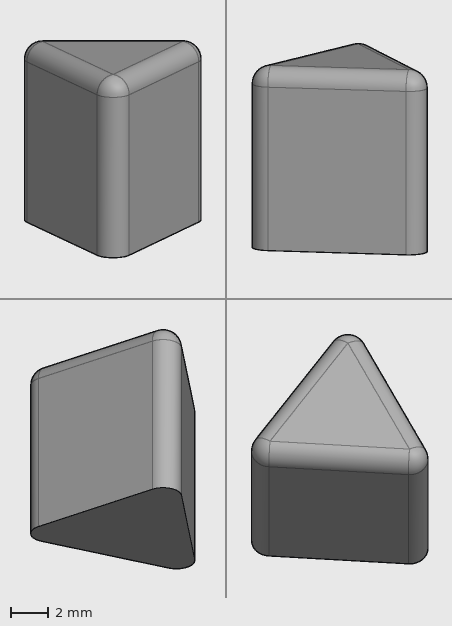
import cadquery as cq
import math

height = 10.0
edge_radius = 1.0
width = 9.54

core_side = width - 2 * edge_radius
core_circumradius = core_side / math.sqrt(3)
wall_height = height - edge_radius
corner_angles = (90, 210, 330)


def corner_point(angle):
    """Centre of the corner round at the given angle in degrees."""
    turn = math.radians(angle)
    return (core_circumradius * math.cos(turn), core_circumradius * math.sin(turn))


corners = [corner_point(angle) for angle in corner_angles]

core = cq.Workplane("XY").polyline(corners).close().extrude(height)
walls = cq.Workplane("XY").polyline(corners).close().offset2D(edge_radius).extrude(wall_height)
result = walls.union(core)

for index, start in enumerate(corners):
    end = corners[(index + 1) % len(corners)]
    along = cq.Vector(end[0] - start[0], end[1] - start[1], 0)
    rim_start = cq.Vector(start[0], start[1], wall_height)
    rim = cq.Solid.makeCylinder(edge_radius, core_side, rim_start, along)
    ball = cq.Workplane("XY").sphere(edge_radius).translate(rim_start)
    result = result.union(cq.Workplane(rim)).union(ball)

result = result.clean()